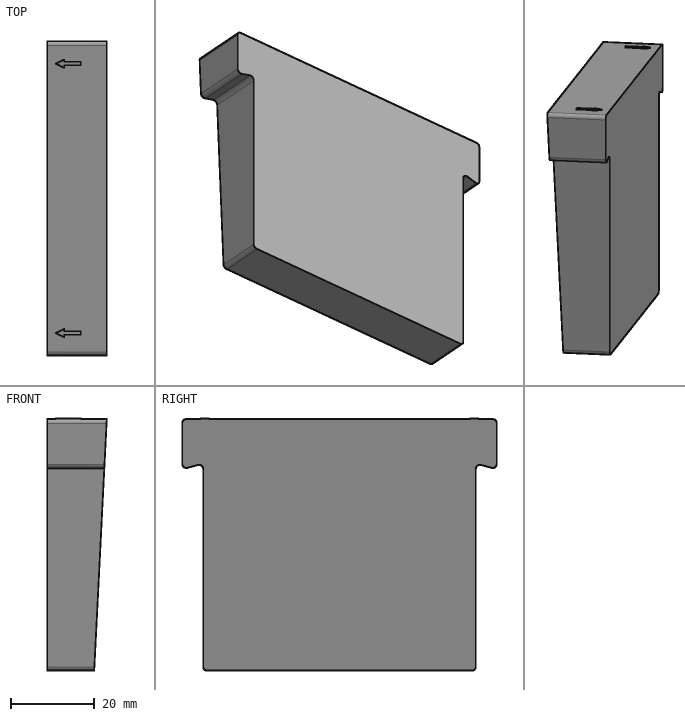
import cadquery as cq
import math

height = 60.0
head_width = 75.0
plate_width = 65.0
top_thickness = 14.25
bottom_thickness = 11.25

lip_depth = 12.0
lip_angle = math.radians(15.0)
edge_radius = 1.0

arrow_height = 0.2
arrow_tip_x = 2.0
arrow_head_length = 2.0
arrow_head_width = 1.95
arrow_length = 6.0
arrow_shaft_width = 0.8
arrow_inset = 5.4


def make_tee_block():
    """T-shaped outline in the YZ plane, extruded along X with every edge along X rounded."""
    half_head = head_width / 2
    half_plate = plate_width / 2
    lip_tip_z = height - lip_depth
    lip_root_z = lip_tip_z + (half_head - half_plate) * math.tan(lip_angle)
    right_half = [
        (half_plate, 0),
        (half_plate, lip_root_z),
        (half_head, lip_tip_z),
        (half_head, height),
    ]
    left_half = [(-y, z) for y, z in reversed(right_half)]
    block = cq.Workplane("YZ").polyline(right_half + left_half).close().extrude(top_thickness)
    return block.edges("|X").fillet(edge_radius)


def make_wedge():
    """Side profile in the XZ plane: flat at X = 0, with the +X face tapering in towards the bottom."""
    profile = [(0, 0), (bottom_thickness, 0), (top_thickness, height), (0, height)]
    return cq.Workplane("XZ").polyline(profile).close().extrude(head_width / 2, both=True)


def make_arrow(center_y):
    """Raised arrow on the top face, centred on the given Y position."""
    head_base_x = arrow_tip_x + arrow_head_length
    tail_x = arrow_tip_x + arrow_length
    half_shaft = arrow_shaft_width / 2
    half_head = arrow_head_width / 2
    outline = [
        (arrow_tip_x, 0),
        (head_base_x, half_head),
        (head_base_x, half_shaft),
        (tail_x, half_shaft),
        (tail_x, -half_shaft),
        (head_base_x, -half_shaft),
        (head_base_x, -half_head),
    ]
    top_plane = cq.Workplane("XY", origin=(0, center_y, height))
    return top_plane.polyline(outline).close().extrude(arrow_height)


result = make_tee_block().intersect(make_wedge())

for side in (-1, 1):
    result = result.union(make_arrow(side * (head_width / 2 - arrow_inset)))